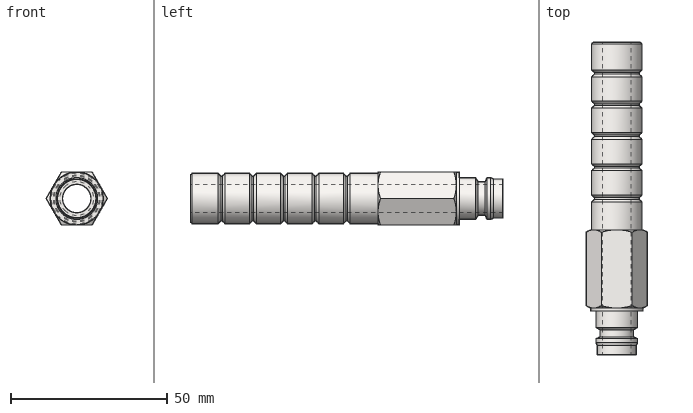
import cadquery as cq
import math

total_length = 100.0
bore_radius = 4.5

tip_radius = 6.3
tip_chamfer = 0.2
land_radius = 6.7
neck_radius = 5.4
ring_start = 3.1
ring_crest_start = 4.0
ring_crest_end = 5.2
ring_end = 5.8
shoulder_start = 8.0
shoulder_end = 8.8

collar_start = 14.0
collar_radius = 8.4
hex_start = 15.0
hex_end = 40.0
hex_across_flats = 17.0
hex_chamfer_radius = 8.5
hex_chamfer_angle = 30.0

shank_radius = 8.1
end_chamfer = 0.6
groove_count = 5
groove_pitch = 10.0
groove_depth = 0.9
groove_floor_width = 0.5
groove_mouth_width = 2.2

hex_corner_radius = hex_across_flats / math.sqrt(3)
middle = total_length / 2


def revolve_outline(points):
    """Revolve a closed outline of (radius, station) points about the Y axis."""
    outline = cq.Workplane("XY").polyline(points).close()
    return outline.revolve(360, (0, 0, 0), (0, 1, 0))


def plug_end():
    return revolve_outline([
        (0, 0),
        (tip_radius - tip_chamfer, 0),
        (tip_radius, tip_chamfer),
        (tip_radius, ring_start),
        (land_radius, ring_crest_start),
        (land_radius, ring_crest_end),
        (neck_radius, ring_end),
        (neck_radius, shoulder_start),
        (land_radius, shoulder_end),
        (land_radius, collar_start),
        (collar_radius, collar_start),
        (collar_radius, hex_start),
        (0, hex_start),
    ])


def hexagon():
    """Hexagon with flats facing +Z and -Z, its corners turned off conically at both ends."""
    corner_points = [
        (
            hex_corner_radius * math.cos(math.radians(60 * i)),
            hex_corner_radius * math.sin(math.radians(60 * i)),
        )
        for i in range(6)
    ]
    prism = (
        cq.Workplane("XZ", origin=(0, hex_start, 0))
        .polyline(corner_points)
        .close()
        .extrude(hex_start - hex_end)
    )
    chamfer_length = (hex_corner_radius - hex_chamfer_radius) * math.tan(math.radians(hex_chamfer_angle))
    envelope = revolve_outline([
        (0, hex_start),
        (hex_chamfer_radius, hex_start),
        (hex_corner_radius, hex_start + chamfer_length),
        (hex_corner_radius, hex_end - chamfer_length),
        (hex_chamfer_radius, hex_end),
        (0, hex_end),
    ])
    return prism.intersect(envelope)


def shank():
    """Round shank with evenly spaced trapezoidal grooves."""
    floor_radius = shank_radius - groove_depth
    points = [(0, hex_end), (shank_radius, hex_end)]
    for i in range(1, groove_count + 1):
        center = hex_end + i * groove_pitch
        points += [
            (shank_radius, center - groove_mouth_width / 2),
            (floor_radius, center - groove_floor_width / 2),
            (floor_radius, center + groove_floor_width / 2),
            (shank_radius, center + groove_mouth_width / 2),
        ]
    points += [
        (shank_radius, total_length - end_chamfer),
        (shank_radius - end_chamfer, total_length),
        (0, total_length),
    ]
    return revolve_outline(points)


bore = cq.Workplane("XZ").circle(bore_radius).extrude(-total_length)

result = plug_end().union(hexagon()).union(shank()).cut(bore).translate((0, -middle, 0))